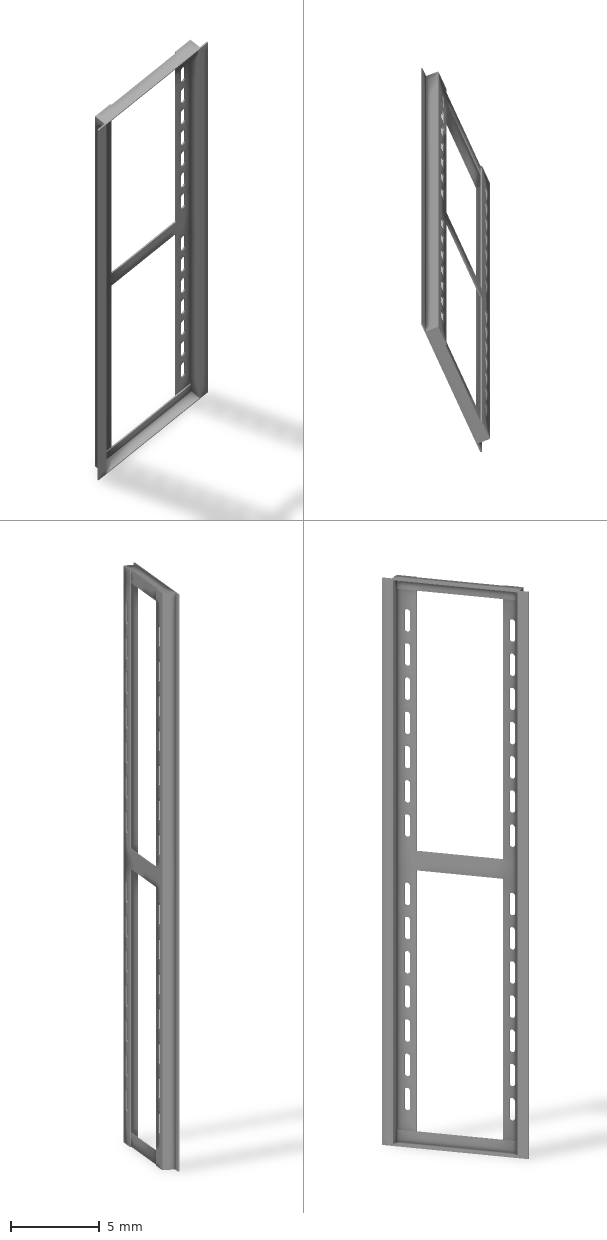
import cadquery as cq

length = 33.25
overall_width = 8.7
depth = 0.83
sheet = 0.083
channel_width = 7.58

window_width = 5.15
end_cap_height = 0.75
crossbar_height = 1.13

slot_length = 1.33
slot_width = 0.33
slot_row_reach = 14.03
slot_row_offset = 3.13
slots_per_half = 7
slot_pitch = slot_row_reach / slots_per_half

web_face = -depth / 2
web_back = web_face + sheet
flange_face = depth / 2
cavity_width = channel_width - 2 * sheet


def block(x_min, x_max, width, height, z_center=0.0):
    """Box between two X positions, centred on Y = 0."""
    x_size = x_max - x_min
    return cq.Workplane("XY").box(x_size, width, height).translate((x_min + x_size / 2, 0, z_center))


def hat_channel():
    """Channel open towards +X, with a flange along each side."""
    shell = block(web_face, flange_face, channel_width, length)
    flanges = block(flange_face - sheet, flange_face, overall_width, length)
    cavity = block(web_back, flange_face, cavity_width, length)
    return shell.union(flanges).cut(cavity)


def windows():
    """Two openings through the web, running from the crossbar to the ends of the channel."""
    height = (length - crossbar_height) / 2
    upper = block(web_face, web_back, window_width, height, (crossbar_height + height) / 2)
    return upper.union(upper.mirror("XY"))


def end_caps():
    """Angles closing both ends: one leg behind the web, the other across the channel."""
    web_leg = block(web_back, web_back + sheet, cavity_width, end_cap_height, (length - end_cap_height) / 2)
    end_leg = block(web_back, flange_face, cavity_width, sheet, (length - sheet) / 2)
    upper = web_leg.union(end_leg)
    return upper.union(upper.mirror("XY"))


def slots():
    """Two rows of vertical slots, evenly pitched, with none beside the crossbar."""
    centers = []
    for side in (-1, 1):
        for step in range(1, slots_per_half + 1):
            for half in (-1, 1):
                centers.append((side * slot_row_offset, half * step * slot_pitch))
    return (
        cq.Workplane("YZ", origin=(web_face, 0, 0))
        .pushPoints(centers)
        .slot2D(slot_length, slot_width, 90)
        .extrude(sheet)
    )


result = hat_channel().cut(windows()).cut(slots()).union(end_caps())